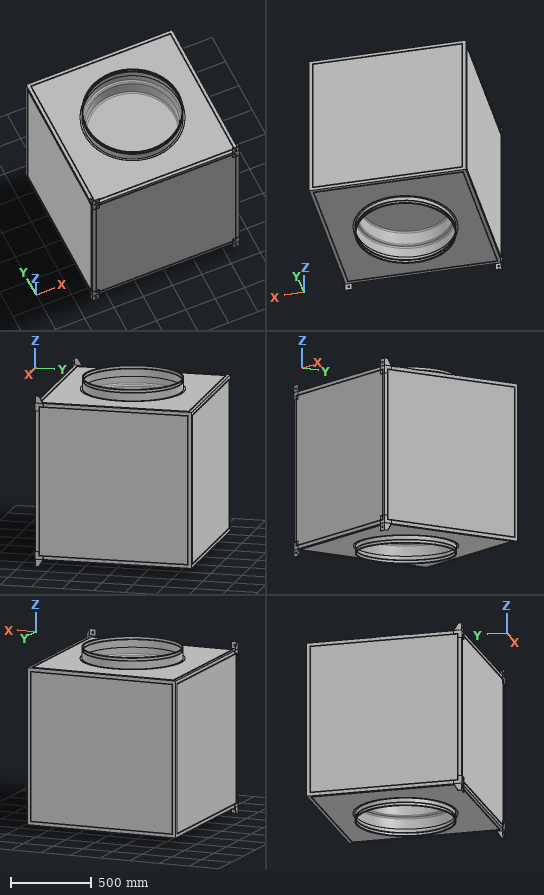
import cadquery as cq
import math

overall_height = 1125.0
box_side = 1001.0
top_spigot_height = 74.0
box_top = overall_height / 2 - top_spigot_height
box_bottom = box_top - box_side
box_center_z = (box_top + box_bottom) / 2
bottom_spigot_height = box_bottom + overall_height / 2
half_side = box_side / 2

sheet = 2.0
front_y = -half_side - sheet
bracket_outer_x = half_side + sheet

frame_width = 22.0
panel_gap = 2.0
panel_gap_depth = 2.0

spigot_radius = 315.0
wall = 2.0
bore_radius = spigot_radius - wall
groove_depth = 5.0
lip_height = 5.0
groove_end = 21.0
flange_radius = 326.0
flange_thickness = 1.0

well_radius = 294.0
ledge_depth = 123.0
floor_depth = 226.0
blend_radius = 9.0

bracket_drop = 50.0
bracket_reach = 46.0
tab_width = 47.0
gusset_foot = 53.0
gusset_tip = 25.0
hole_diameter = 9.0
hole_inset = 25.0


def revolve_about_z(profile):
    return profile.close().revolve(360, (0, 0, 0), (0, 1, 0))


def make_spigot(height):
    """Collar standing on z = 0, still solid inside, with a thin flange at its foot."""
    groove_radius = spigot_radius - groove_depth
    profile = cq.Workplane("XZ").polyline([
        (0, 0),
        (flange_radius, 0),
        (flange_radius, flange_thickness),
        (spigot_radius, flange_thickness),
        (spigot_radius, height - groove_end),
        (groove_radius, height - groove_end),
        (groove_radius, height - lip_height),
        (spigot_radius, height - lip_height),
        (spigot_radius, height),
        (0, height),
    ])
    return revolve_about_z(profile)


def make_recess(height):
    """Space inside a collar standing on z = 0: beaded bore, rounded ledge and blind well."""
    bead_radius = bore_radius - groove_depth
    ledge = height - ledge_depth
    floor = height - floor_depth
    arc_middle = blend_radius * (1 - math.sqrt(0.5))
    profile = (
        cq.Workplane("XZ")
        .moveTo(0, height)
        .lineTo(bore_radius, height)
        .lineTo(bore_radius, height - lip_height + wall)
        .lineTo(bead_radius, height - lip_height + wall)
        .lineTo(bead_radius, height - groove_end - wall)
        .lineTo(bore_radius, height - groove_end - wall)
        .lineTo(bore_radius, ledge + blend_radius)
        .threePointArc(
            (bore_radius - arc_middle, ledge + arc_middle),
            (bore_radius - blend_radius, ledge),
        )
        .lineTo(well_radius + blend_radius, ledge)
        .threePointArc(
            (well_radius + arc_middle, ledge - arc_middle),
            (well_radius, ledge - blend_radius),
        )
        .lineTo(well_radius, floor + blend_radius)
        .threePointArc(
            (well_radius - arc_middle, floor + arc_middle),
            (well_radius - blend_radius, floor),
        )
        .lineTo(0, floor)
    )
    return revolve_about_z(profile)


def upside_down(shape):
    return shape.rotate((0, 0, 0), (1, 0, 0), 180)


def make_bracket():
    """Folded bracket for the upper corner at +X, -Y."""
    tab_top = box_top + bracket_reach
    tab_bottom = box_top - bracket_drop
    tab = (
        cq.Workplane("XY")
        .box(tab_width, sheet, tab_top - tab_bottom, centered=False)
        .translate((bracket_outer_x - tab_width, front_y, tab_bottom))
    )
    hole = (
        cq.Workplane("XZ", origin=(bracket_outer_x - hole_inset, 0, tab_top - hole_inset))
        .circle(hole_diameter / 2)
        .extrude(box_side)
    )
    gusset = (
        cq.Workplane("YZ", origin=(half_side, 0, 0))
        .polyline([
            (front_y, tab_top),
            (front_y + gusset_tip, tab_top),
            (front_y + gusset_foot, box_top),
            (front_y + gusset_foot, box_top - frame_width),
            (-half_side + frame_width, box_top - frame_width),
            (-half_side + frame_width, tab_bottom),
            (front_y, tab_bottom),
        ])
        .close()
        .extrude(sheet)
    )
    return tab.cut(hole).union(gusset)


def make_panel_groove(plane, origin):
    """Square ring sunk from a face; the plane's normal points out of the box."""
    outer = box_side - 2 * frame_width
    inner = outer - 2 * panel_gap
    return (
        cq.Workplane(cq.Plane(origin, plane.xDir, plane.zDir))
        .rect(outer, outer)
        .rect(inner, inner)
        .extrude(-panel_gap_depth)
    )


body = cq.Workplane("XY").box(box_side, box_side, box_side).translate((0, 0, box_center_z))

for height, face_z, place in (
    (top_spigot_height, box_top, lambda shape: shape),
    (bottom_spigot_height, box_bottom, upside_down),
):
    body = body.union(place(make_spigot(height)).translate((0, 0, face_z)))
    body = body.cut(place(make_recess(height)).translate((0, 0, face_z)))

panel_faces = [
    ("XZ", (0, -half_side, box_center_z)),
    ("ZX", (0, half_side, box_center_z)),
    ("YZ", (half_side, 0, box_center_z)),
    ("ZY", (-half_side, 0, box_center_z)),
    ("XY", (0, 0, box_top)),
    ("YX", (0, 0, box_bottom)),
]
for plane_name, origin in panel_faces:
    body = body.cut(make_panel_groove(cq.Plane.named(plane_name), origin))

upper_right = make_bracket()
lower_right = upper_right.mirror("XY", (0, 0, box_center_z))
for bracket in (upper_right, lower_right):
    body = body.union(bracket).union(bracket.mirror("YZ"))

result = body.translate((0, sheet / 2, 0))